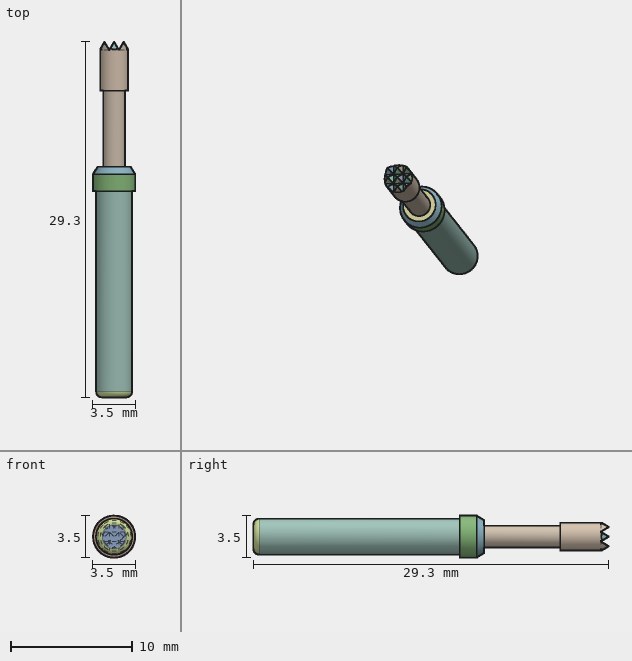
import cadquery as cq

total_length = 29.3

tail_length = 17.0
tail_diameter = 3.0
tail_fillet = 0.5

collar_length = 2.02
collar_diameter = 3.5
collar_taper_length = 0.62
collar_taper_height = 0.38

rod_diameter = 1.82

crown_length = 4.0
crown_diameter = 2.31

tooth_pitch = 0.8
tooth_height = 0.67
groove_rows = (-1.5, -0.5, 0.5, 1.5)

tail_end = -tail_length
collar_end = collar_length
crown_end = total_length - tail_length
crown_start = crown_end - crown_length


def shaft(diameter, start, end):
    """Round bar along +Y between two stations."""
    return cq.Workplane("XZ", origin=(0, start, 0)).circle(diameter / 2).extrude(start - end)


def tail():
    return shaft(tail_diameter, tail_end, 0).faces("<Y").edges().fillet(tail_fillet)


def collar():
    rim = shaft(collar_diameter, 0, collar_end).faces(">Y").edges()
    return rim.chamfer(collar_taper_length, collar_taper_height)


def v_grooves():
    """Parallel V grooves running along Z, between and just outside the three tooth rows."""
    half_pitch = tooth_pitch / 2
    groove_bottom = crown_end - tooth_height
    grooves = cq.Workplane("XY")
    for row in groove_rows:
        center = row * tooth_pitch
        profile = cq.Workplane("XY").polyline([
            (center - half_pitch, crown_end),
            (center, groove_bottom),
            (center + half_pitch, crown_end),
        ]).close()
        grooves = grooves.add(profile.extrude(crown_diameter / 2, both=True))
    return grooves.combine()


def crown():
    grooves = v_grooves()
    crossing_grooves = grooves.rotate((0, 0, 0), (0, 1, 0), 90)
    return shaft(crown_diameter, crown_start, crown_end).cut(grooves).cut(crossing_grooves)


rod = shaft(rod_diameter, collar_end, crown_start)
result = tail().union(collar()).union(rod).union(crown())